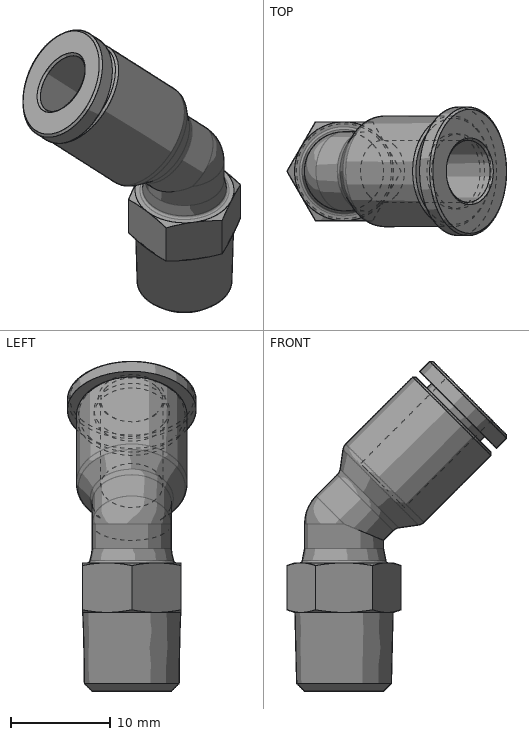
import cadquery as cq
import math

stem_tip_radius = 4.8
stem_top_radius = 4.95
stem_chamfer = 0.8
stem_height = 7.95

hex_flats = 10.0
hex_height = 5.0
hex_corner_drop = 0.25
hex_corner_radius = hex_flats / math.sqrt(3)
hex_top = stem_height + hex_height

pipe_radius = 4.0
flare_radius = 4.23
flare_height = 1.43
foot_fillet = 0.25
elbow_height = 16.88
bend_angle = 45.0

shoulder_start = 3.35
socket_start = 5.5
socket_end = 15.62
socket_radius = 5.6
shoulder_fillet = 1.0
socket_chamfer = 0.23

collar_radius = 3.8
flange_start = 16.3
flange_end = 17.95
flange_half_width = 5.5
flange_half_length = 6.5
flange_chamfer = 0.23

bore_radius = 3.13
bore_chamfer = 0.23


def make_stem():
    profile = [
        (0, 0),
        (stem_tip_radius - stem_chamfer, 0),
        (stem_tip_radius, stem_chamfer),
        (stem_top_radius, stem_height),
        (0, stem_height),
    ]
    return cq.Workplane("XZ").polyline(profile).close().revolve(360, (0, 0), (0, 1))


def make_hex():
    """Hexagonal prism whose corners are turned down to a shallow cone at both ends."""
    prism = cq.Workplane("XY", origin=(0, 0, stem_height)).polygon(6, 2 * hex_corner_radius)
    prism = prism.extrude(hex_height)
    turned_profile = [
        (0, stem_height),
        (hex_flats / 2, stem_height),
        (hex_corner_radius, stem_height + hex_corner_drop),
        (hex_corner_radius, hex_top - hex_corner_drop),
        (hex_flats / 2, hex_top),
        (0, hex_top),
    ]
    turned = cq.Workplane("XZ").polyline(turned_profile).close().revolve(360, (0, 0), (0, 1))
    return prism.intersect(turned)


def make_neck():
    """Upright pipe with a flared, filleted foot, and the ball that rounds the elbow."""
    foot_bend = foot_fillet * (1 - math.sqrt(0.5))
    pipe = (
        cq.Workplane("XZ")
        .moveTo(0, hex_top)
        .lineTo(flare_radius + foot_fillet, hex_top)
        .threePointArc(
            (flare_radius + foot_bend, hex_top + foot_bend),
            (flare_radius, hex_top + foot_fillet),
        )
        .lineTo(pipe_radius, hex_top + flare_height)
        .lineTo(pipe_radius, elbow_height)
        .lineTo(0, elbow_height)
        .close()
        .revolve(360, (0, 0), (0, 1))
    )
    ball = cq.Workplane("XY").sphere(pipe_radius).translate((0, 0, elbow_height))
    return pipe.union(ball)


def make_socket():
    """Branch pipe, conical shoulder and socket, built upright from the elbow centre."""
    profile = [
        (0, 0),
        (pipe_radius, 0),
        (pipe_radius, shoulder_start),
        (socket_radius, socket_start),
        (socket_radius, socket_end),
        (0, socket_end),
    ]
    socket = cq.Workplane("XZ").polyline(profile).close().revolve(360, (0, 0), (0, 1))
    socket = socket.faces(">Z").edges().chamfer(socket_chamfer)
    shoulder_edges = cq.selectors.BoxSelector(
        (-socket_radius, -socket_radius, shoulder_start / 2),
        (socket_radius, socket_radius, socket_end / 2),
    )
    return socket.edges("%CIRCLE").edges(shoulder_edges).fillet(shoulder_fillet)


def make_button():
    collar = cq.Workplane("XY", origin=(0, 0, socket_end)).circle(collar_radius)
    collar = collar.extrude(flange_start - socket_end)
    flange = (
        cq.Workplane("XY", origin=(0, 0, flange_start))
        .ellipse(flange_half_width, flange_half_length)
        .extrude(flange_end - flange_start)
        .faces(">Z").edges().chamfer(flange_chamfer)
    )
    return collar.union(flange)


def make_bore():
    profile = [
        (0, socket_start),
        (bore_radius, socket_start),
        (bore_radius, flange_end - bore_chamfer),
        (bore_radius + bore_chamfer, flange_end),
        (0, flange_end),
    ]
    return cq.Workplane("XZ").polyline(profile).close().revolve(360, (0, 0), (0, 1))


def place_on_bent_axis(body):
    return body.rotate((0, 0, 0), (0, 1, 0), bend_angle).translate((0, 0, elbow_height))


branch = make_socket().union(make_button()).cut(make_bore())
result = make_stem().union(make_hex()).union(make_neck()).union(place_on_bent_axis(branch))